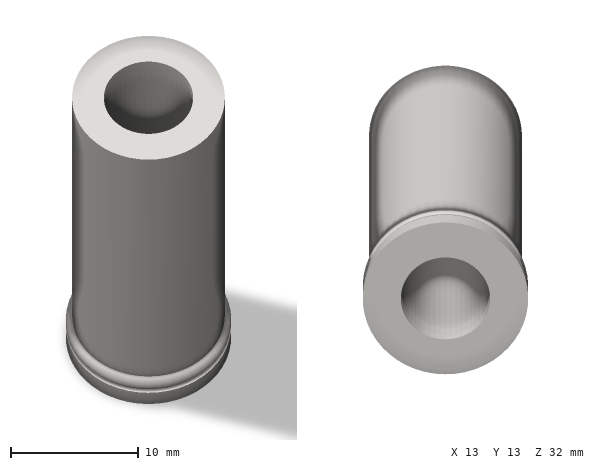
import cadquery as cq

total_height = 32.0
tube_diameter = 12.0
bore_diameter = 7.0
collar_diameter = 13.0
flange_height = 1.5
ring_height = 1.5

tube_radius = tube_diameter / 2
bore_radius = bore_diameter / 2
collar_radius = collar_diameter / 2
ring_middle = flange_height + ring_height / 2
ring_top = flange_height + ring_height

half_section = (
    cq.Workplane("XZ")
    .moveTo(bore_radius, 0)
    .lineTo(collar_radius, 0)
    .lineTo(collar_radius, flange_height)
    .lineTo(tube_radius, flange_height)
    .threePointArc((collar_radius, ring_middle), (tube_radius, ring_top))
    .lineTo(tube_radius, total_height)
    .lineTo(bore_radius, total_height)
    .close()
)

result = half_section.revolve(360, (0, 0, 0), (0, 1, 0))